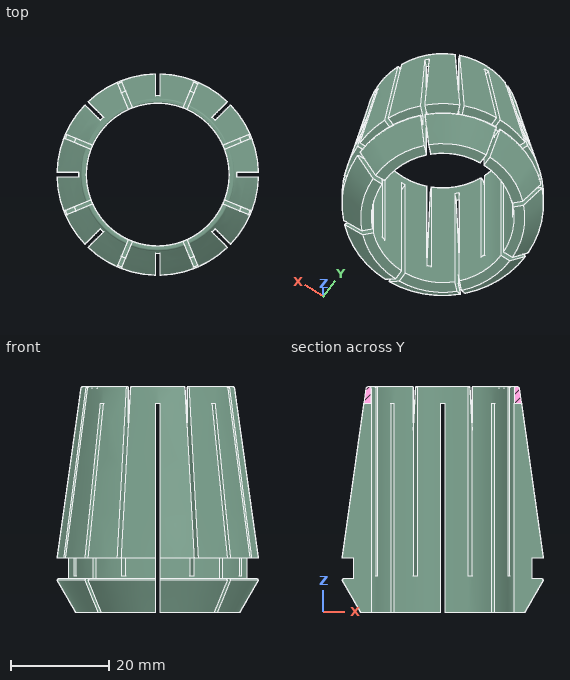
import cadquery as cq
import math

total_height = 46.0
groove_bottom_z = 7.0
groove_top_z = 11.1

max_radius = 20.5
groove_radius = 18.2
bore_radius = 29.0 / 2
body_taper_deg = 8.0
nose_taper_deg = 30.0

rim_chamfer_height = 0.4
rim_chamfer_depth = 0.32
outer_top_fillet = 0.5
bore_top_fillet = 0.4

slit_width = 0.9
slit_count = 8
nose_slit_top_z = 42.5
body_slit_bottom_z = 7.5

slit_pitch_deg = 360.0 / slit_count
rim_z = groove_bottom_z - rim_chamfer_height
nose_radius = max_radius - rim_z * math.tan(math.radians(nose_taper_deg))
body_slope = math.tan(math.radians(body_taper_deg))
top_radius = max_radius - (total_height - groove_top_z) * body_slope
overcut = 1.0


def make_sleeve():
    """Revolve the half section: nose cone, groove, clamping cone and bore."""
    half_section = [
        (bore_radius, 0),
        (nose_radius, 0),
        (max_radius, rim_z),
        (max_radius - rim_chamfer_depth, groove_bottom_z),
        (groove_radius, groove_bottom_z),
        (groove_radius, groove_top_z),
        (max_radius, groove_top_z),
        (top_radius, total_height),
        (bore_radius, total_height),
    ]
    sleeve = cq.Workplane("XZ").polyline(half_section).close().revolve(360, (0, 0, 0), (0, 1, 0))
    bore_edge = cq.selectors.RadiusNthSelector(0)
    sleeve = sleeve.faces(">Z").edges(bore_edge).fillet(bore_top_fillet)
    outer_edge = cq.selectors.RadiusNthSelector(-1)
    return sleeve.faces(">Z").edges(outer_edge).fillet(outer_top_fillet)


def make_slits(bottom_z, top_z, first_angle_deg):
    """Radial slit cutters at equal angles, each reaching from the axis past the rim."""
    slits = cq.Workplane("XY")
    for i in range(slit_count):
        slit = (
            cq.Workplane("XY")
            .box(max_radius + overcut, slit_width, top_z - bottom_z, centered=(False, True, False))
            .translate((0, 0, bottom_z))
            .rotate((0, 0, 0), (0, 0, 1), first_angle_deg + i * slit_pitch_deg)
        )
        slits = slits.add(slit)
    return slits.combine()


nose_slits = make_slits(-overcut, nose_slit_top_z, 0)
body_slits = make_slits(body_slit_bottom_z, total_height + overcut, slit_pitch_deg / 2)

result = make_sleeve().cut(nose_slits).cut(body_slits)